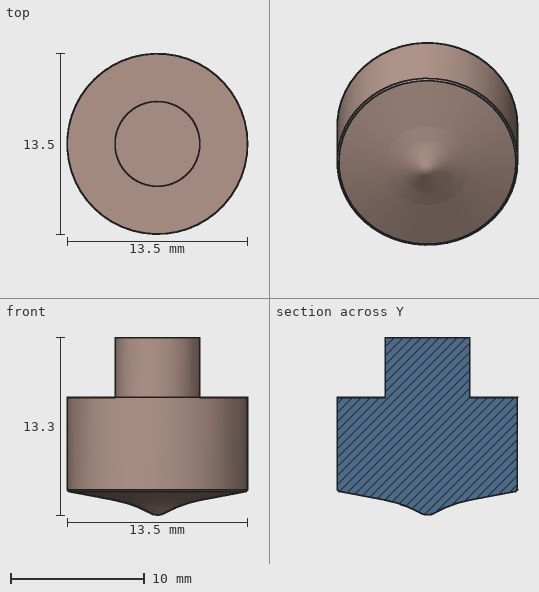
import cadquery as cq
import math

total_height = 13.26
body_radius = 6.75
stem_radius = 3.17
stem_height = 4.45
body_height = 6.91
chamfer = 0.14

flare_radius = 3.2
flare_height = 1.11
tip_radius = 0.57
tip_height = 0.16

shoulder_z = total_height - stem_height
body_bottom_z = shoulder_z - body_height
cone_top_radius = body_radius - chamfer
cone_top_z = body_bottom_z - chamfer

sphere_radius = (tip_radius**2 + tip_height**2) / (2 * tip_height)
half_tip_radius = tip_radius / 2
half_tip_z = sphere_radius - math.sqrt(sphere_radius**2 - half_tip_radius**2)

profile = (
    cq.Workplane("XZ")
    .moveTo(0, total_height)
    .lineTo(stem_radius, total_height)
    .lineTo(stem_radius, shoulder_z)
    .lineTo(body_radius, shoulder_z)
    .lineTo(body_radius, body_bottom_z)
    .lineTo(cone_top_radius, cone_top_z)
    .lineTo(flare_radius, flare_height)
    .tangentArcPoint((tip_radius, tip_height), relative=False)
    .threePointArc((half_tip_radius, half_tip_z), (0, 0))
    .close()
)
result = profile.revolve(360, (0, 0, 0), (0, 1, 0))